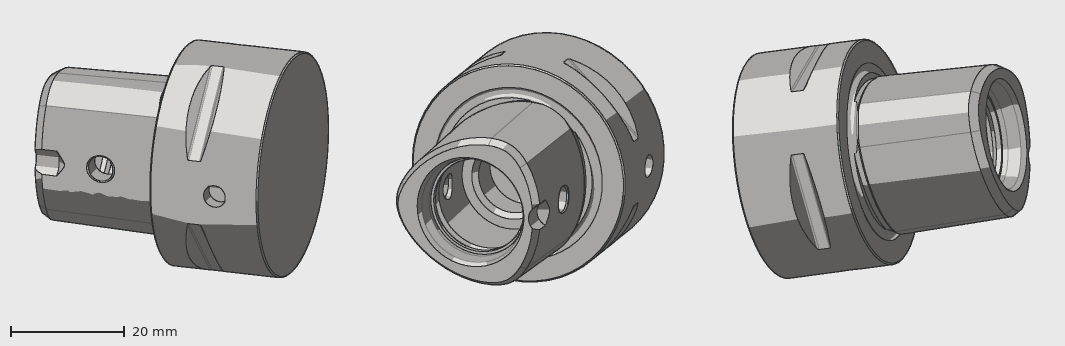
import cadquery as cq
import math

total_length = 44.0
flange_radius = 40.0 / 2
flange_start = 24.0
flange_chamfer = 0.25

lobe_height = 0.95
lobe_half_angle = math.radians(28)
flat_half_angle = math.radians(60) - lobe_half_angle
shank_end = 22.25
shank_end_mean_radius = 14.05
taper_per_length = 1 / 40
tip_chamfer_length = 1.55
tip_chamfer_drop = 0.9
neck_start = 22.55
neck_step = 0.2

collar_start = 23.6
relief_lead_in_x = 21.9
relief_lead_in_radius = 15.15
relief_arc_start_x = 22.7
relief_center_x = 23.45
relief_center_radius = 14.95
relief_arc_radius = 0.95

mouth_radius = 20.0 / 2
guide_radius = 9.5
groove_radius = 9.5
bore_radius = 18.0 / 2
lip_radius = 8.5
mouth_cone_length = 0.92
guide_cone_end = 3.15
lip_start = 4.2
lip_end = 5.15
groove_end = 7.1
groove_cone_end = 8.1
bore_end = 19.8
pilot_mouth_radius = 7.15
pilot_radius = 12.5 / 2
pilot_end = 26.4
drill_half_angle = math.radians(59)

gripper_x = 32.0
gripper_floor_distance = 17.7
gripper_floor_width = 2.38
gripper_half_angle = math.radians(30)
gripper_floor_fillet = 0.35

cross_hole_x = 12.55
cross_hole_diameter = 4.6
cross_hole_chamfer = 0.33
cross_hole_far_depth = 9.7
flange_hole_x = 36.05
flange_hole_diameter = 4.0
flange_hole_depth = 3.1

notch_diameter = 5.0
notch_axis_y = -13.38
notch_length = 4.25
notch_point_length = 2.2


def lobed_wire(x, mean_radius):
    """Constant-width outline in the plane at x, in six edges: lobes and flats in turn."""
    steps_per_edge = 8

    def point(angle):
        support = mean_radius + lobe_height * math.cos(3 * angle)
        slope = -3 * lobe_height * math.sin(3 * angle)
        y = support * math.cos(angle) - slope * math.sin(angle)
        z = support * math.sin(angle) + slope * math.cos(angle)
        return cq.Vector(x, y, z)

    def edge(middle_angle, half_angle):
        fractions = [2 * i / steps_per_edge - 1 for i in range(steps_per_edge + 1)]
        return cq.Edge.makeSpline([point(middle_angle + half_angle * f) for f in fractions])

    edges = []
    for lobe_angle in (0, 120, 240):
        edges.append(edge(math.radians(lobe_angle), lobe_half_angle))
        edges.append(edge(math.radians(lobe_angle + 60), flat_half_angle))
    return cq.Wire.assembleEdges(edges)


def lobed_solid(x_start, radius_start, x_end, radius_end):
    wires = [lobed_wire(x_start, radius_start), lobed_wire(x_end, radius_end)]
    return cq.Workplane(cq.Solid.makeLoft(wires, True))


def revolve_about_x(profile):
    return profile.close().revolve(360, (0, 0, 0), (1, 0, 0))


def drill(x, y_start, y_shoulder, diameter):
    """Hole along +Y with a conical point beyond the shoulder."""
    radius = diameter / 2
    point_y = y_shoulder + radius / math.tan(drill_half_angle)
    profile = (
        cq.Workplane("XY")
        .moveTo(x, y_start)
        .lineTo(x + radius, y_start)
        .lineTo(x + radius, y_shoulder)
        .lineTo(x, point_y)
        .close()
    )
    return profile.revolve(360, (x, 0, 0), (x, 1, 0))


def shank():
    tip_radius = shank_end_mean_radius - taper_per_length * (shank_end - tip_chamfer_length)
    neck_radius = shank_end_mean_radius - neck_step
    tip = lobed_solid(0, tip_radius - tip_chamfer_drop, tip_chamfer_length, tip_radius)
    taper = lobed_solid(tip_chamfer_length, tip_radius, shank_end, shank_end_mean_radius)
    step = lobed_solid(shank_end, shank_end_mean_radius, neck_start, neck_radius)
    neck = lobed_solid(neck_start, neck_radius, flange_start, neck_radius)
    return tip.union(taper).union(step).union(neck)


def flange():
    body = cq.Workplane("YZ", origin=(flange_start, 0, 0))
    body = body.circle(flange_radius).extrude(total_length - flange_start)
    body = body.edges("%CIRCLE").chamfer(flange_chamfer)
    collar = cq.Workplane("YZ", origin=(collar_start, 0, 0))
    collar = collar.circle(relief_center_radius).extrude(flange_start - collar_start)
    return body.union(collar)


def relief_groove():
    """Round groove that undercuts the flange face, with a sloped lead-in across the lobes."""

    def arc_rise(x):
        return math.sqrt(relief_arc_radius**2 - (x - relief_center_x) ** 2)

    arc_deepest = (relief_center_x + relief_arc_radius, relief_center_radius)
    arc_end_radius = relief_center_radius + arc_rise(flange_start)
    profile = (
        cq.Workplane("XY")
        .moveTo(relief_lead_in_x, relief_lead_in_radius)
        .lineTo(relief_arc_start_x, relief_center_radius - arc_rise(relief_arc_start_x))
        .threePointArc(arc_deepest, (flange_start, arc_end_radius))
        .lineTo(flange_start, flange_radius)
        .lineTo(relief_lead_in_x, flange_radius)
    )
    return revolve_about_x(profile)


def bore():
    lip_back_x = lip_end + groove_radius - lip_radius
    pilot_start = bore_end + pilot_mouth_radius - pilot_radius
    pilot_tip = pilot_end + pilot_radius / math.tan(drill_half_angle)
    profile = (
        cq.Workplane("XY")
        .lineTo(0, mouth_radius)
        .lineTo(mouth_cone_length, guide_radius)
        .lineTo(guide_cone_end, bore_radius)
        .lineTo(lip_start, bore_radius)
        .lineTo(lip_start, lip_radius)
        .lineTo(lip_end, lip_radius)
        .lineTo(lip_back_x, groove_radius)
        .lineTo(groove_end, groove_radius)
        .lineTo(groove_cone_end, bore_radius)
        .lineTo(bore_end, bore_radius)
        .lineTo(bore_end, pilot_mouth_radius)
        .lineTo(pilot_start, pilot_radius)
        .lineTo(pilot_end, pilot_radius)
        .lineTo(pilot_tip, 0)
    )
    return revolve_about_x(profile)


def gripper_groove(angle):
    """Straight V groove with a flat floor, square to the given direction around X."""
    depth = flange_radius - gripper_floor_distance
    floor_half = gripper_floor_width / 2
    top_half = floor_half + depth * math.tan(gripper_half_angle)
    groove = (
        cq.Workplane("XY")
        .moveTo(gripper_x - floor_half, gripper_floor_distance)
        .lineTo(gripper_x + floor_half, gripper_floor_distance)
        .lineTo(gripper_x + top_half, flange_radius)
        .lineTo(gripper_x - top_half, flange_radius)
        .close()
        .extrude(flange_radius, both=True)
        .faces("<Y")
        .edges("|Z")
        .fillet(gripper_floor_fillet)
    )
    return groove.rotate((0, 0, 0), (1, 0, 0), angle)


def cross_hole():
    """Through the -Y wall and the bore, ending in the +Y wall, with a chamfered mouth."""
    flat_y = -(shank_end_mean_radius - lobe_height - taper_per_length * (shank_end - cross_hole_x))
    mouth_radius_at_flat = cross_hole_diameter / 2 + cross_hole_chamfer
    chamfer = cq.Workplane(
        cq.Solid.makeCone(
            mouth_radius_at_flat,
            0,
            mouth_radius_at_flat,
            cq.Vector(cross_hole_x, flat_y, 0),
            cq.Vector(0, 1, 0),
        )
    )
    return drill(cross_hole_x, -flange_radius, cross_hole_far_depth, cross_hole_diameter).union(chamfer)


def tip_notch():
    radius = notch_diameter / 2
    profile = (
        cq.Workplane("XY")
        .moveTo(0, notch_axis_y)
        .lineTo(0, notch_axis_y + radius)
        .lineTo(notch_length, notch_axis_y + radius)
        .lineTo(notch_length + notch_point_length, notch_axis_y)
        .close()
    )
    return profile.revolve(360, (0, notch_axis_y, 0), (1, notch_axis_y, 0))


result = shank().union(flange())
result = result.cut(relief_groove()).cut(bore())
for groove_angle in (45, 135, 225, 315):
    result = result.cut(gripper_groove(groove_angle))
result = result.cut(cross_hole()).cut(tip_notch())
result = result.cut(
    drill(flange_hole_x, -flange_radius, flange_hole_depth - flange_radius, flange_hole_diameter)
)